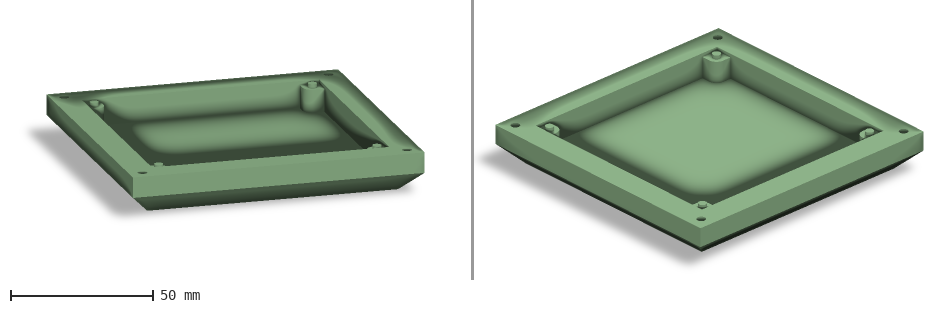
import cadquery as cq

length_x = 106.0
length_y = 107.0
height = 15.0
bevel = height / 2

cavity_x = 86.0
wall = (length_x - cavity_x) / 2
cavity_y = length_y - 2 * wall
cavity_depth = 10.0
floor_z = height - cavity_depth

post_side = 7.0
post_radius = post_side / 2
post_height = 8.5
pin_diameter = 3.2
pin_height = 1.5

hole_diameter = 3.4
hole_inset = wall / 2
hole_depth = 5.0


def corner_points(size_x, size_y, inset):
    """Centres set in by the same distance from each corner of a rectangle."""
    x = size_x / 2 - inset
    y = size_y / 2 - inset
    return [(-x, -y), (x, -y), (x, y), (-x, y)]


def make_tray():
    """Rectangular block with a bevelled underside and a plain cavity."""
    block = cq.Workplane("XY").box(length_x, length_y, height, centered=(True, True, False))
    block = block.faces("<Z").chamfer(bevel)
    cavity = (
        cq.Workplane("XY")
        .workplane(offset=floor_z)
        .rect(cavity_x, cavity_y)
        .extrude(cavity_depth)
    )
    return block.cut(cavity)


def make_post(x, y):
    """Post filling one cavity corner, rounded towards the middle, with a pin on top."""
    inner_edge = f"|Z and {'<' if x > 0 else '>'}X and {'<' if y > 0 else '>'}Y"
    post = (
        cq.Workplane("XY")
        .workplane(offset=floor_z)
        .center(x, y)
        .rect(post_side, post_side)
        .extrude(post_height)
        .edges(inner_edge)
        .fillet(post_radius)
    )
    pin = (
        cq.Workplane("XY")
        .workplane(offset=floor_z + post_height)
        .center(x, y)
        .circle(pin_diameter / 2)
        .extrude(pin_height)
    )
    return post.union(pin)


result = make_tray()
for post_x, post_y in corner_points(cavity_x, cavity_y, post_side / 2):
    result = result.union(make_post(post_x, post_y))

rim_holes = (
    cq.Workplane("XY")
    .workplane(offset=height)
    .pushPoints(corner_points(length_x, length_y, hole_inset))
    .circle(hole_diameter / 2)
    .extrude(-hole_depth)
)
result = result.cut(rim_holes)